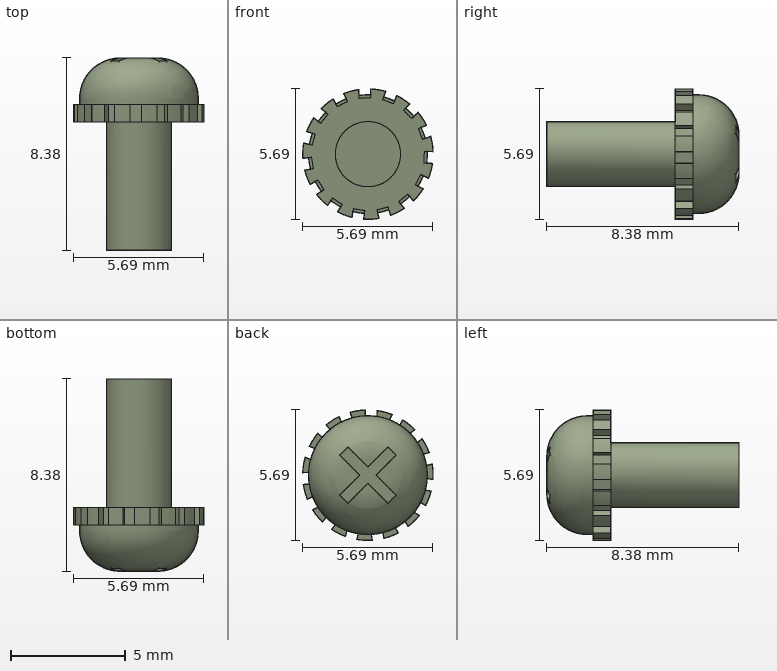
import cadquery as cq

total_length = 8.38
shank_diameter = 2.84
washer_diameter = 5.69
washer_thickness = 0.77
head_diameter = 5.18
head_band_height = 0.25
dome_radius = 1.77

notch_count = 15
notch_width = 0.5
notch_floor_distance = 2.45
first_notch_angle = 45.0

recess_arm_width = 0.5
recess_arm_span = 2.97
recess_depth = 1.005
recess_angles = (45.0, 135.0)

head_height = head_band_height + dome_radius
shank_length = total_length - head_height - washer_thickness
notch_depth = washer_diameter / 2 - notch_floor_distance
notch_cutter_length = 2 * notch_depth


def plane_at(y):
    """XZ workplane at height y on the screw axis; it extrudes towards -Y."""
    return cq.Workplane("XZ", origin=(0, y, 0))


def rotated_about_axis(body, angle):
    """Turn a body about the screw axis, from +X towards +Z."""
    return body.rotate((0, 0, 0), (0, -1, 0), angle)


def make_shank():
    """Plain shank running from the washer at y = 0 towards -Y."""
    return plane_at(0).circle(shank_diameter / 2).extrude(shank_length)


def make_toothed_washer():
    """Disc with evenly spaced rectangular notches around its rim."""
    washer = plane_at(washer_thickness).circle(washer_diameter / 2).extrude(washer_thickness)
    cutter = (
        plane_at(washer_thickness)
        .center(notch_floor_distance + notch_cutter_length / 2, 0)
        .rect(notch_cutter_length, notch_width)
        .extrude(washer_thickness)
    )
    for index in range(notch_count):
        angle = first_notch_angle + index * 360 / notch_count
        washer = washer.cut(rotated_about_axis(cutter, angle))
    return washer


def make_head():
    """Domed head with a cross recess in its flat top."""
    top = washer_thickness + head_height
    head = plane_at(top).circle(head_diameter / 2).extrude(head_height)
    head = head.faces(">Y").edges().fillet(dome_radius)
    arm = plane_at(top).rect(recess_arm_span, recess_arm_width).extrude(recess_depth)
    for angle in recess_angles:
        head = head.cut(rotated_about_axis(arm, angle))
    return head


result = make_shank().union(make_toothed_washer()).union(make_head())